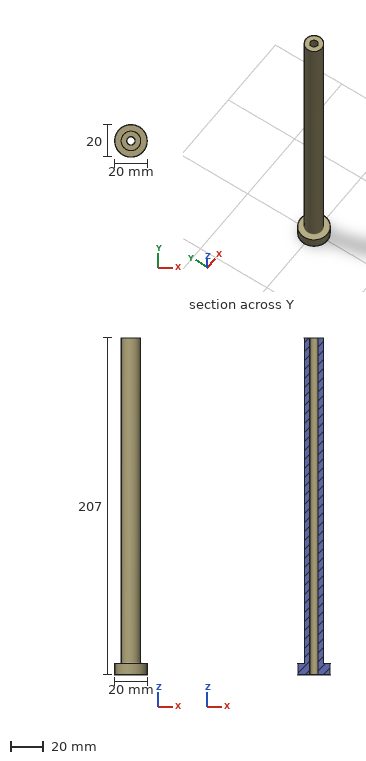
import cadquery as cq

total_length = 207.0
head_diameter = 20.0
head_height = 7.0
shaft_diameter = 12.0
bore_diameter = 5.0
root_fillet = 0.5

head = cq.Workplane("XY").circle(head_diameter / 2).extrude(head_height)
shaft = cq.Workplane("XY").circle(shaft_diameter / 2).extrude(total_length)
body = head.union(shaft)

head_top = body.faces("|Z").faces(">Z[-2]")
body = head_top.edges(cq.selectors.RadiusNthSelector(0)).fillet(root_fillet)

bore = cq.Workplane("XY").circle(bore_diameter / 2).extrude(total_length)
result = body.cut(bore)